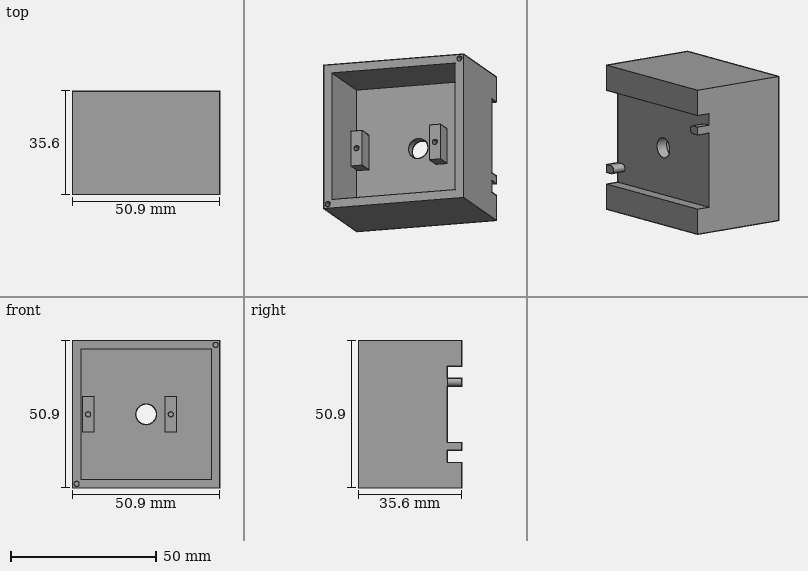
import cadquery as cq

width = 50.9
depth = 35.65
height = 50.9
wall = 3.0

cavity_depth = 26.45
channel_height = 33.1
channel_depth = 5.0

cable_hole_diameter = 7.0
screw_hole_diameter = 1.8
corner_hole_depth = 10.05

post_width = 4.0
post_height = 12.3
post_length = 7.25
post_spacing = 28.5
first_post_x = -20.0
post_centers = [(first_post_x, 0), (first_post_x + post_spacing, 0)]

lug_thickness = 2.8
lug_length = 4.0
lug_offset_z = 11.05

front_y = -depth / 2
back_y = depth / 2
cavity_floor_y = front_y + cavity_depth
post_face_y = cavity_floor_y - post_length
channel_floor_y = back_y - channel_depth


def plane_at(y):
    """Sketch plane facing -Y; positive extrusions run towards -Y."""
    return cq.Workplane("XZ", origin=(0, y, 0))


def make_box():
    shell = plane_at(front_y).rect(width, height).extrude(-depth)
    cavity = plane_at(front_y).rect(width - 2 * wall, height - 2 * wall).extrude(-cavity_depth)
    channel = plane_at(back_y).rect(width, channel_height).extrude(channel_depth)
    return shell.cut(cavity).cut(channel)


def make_posts():
    return plane_at(cavity_floor_y).pushPoints(post_centers).rect(post_width, post_height).extrude(post_length)


def make_lug(side, z):
    """Lug on the -X (side = -1) or +X (side = 1) edge, with its round end inwards."""
    radius = lug_thickness / 2
    bar_length = lug_length - radius
    edge_x = side * width / 2
    bar_center_x = edge_x - side * bar_length / 2
    end_center_x = edge_x - side * bar_length
    floor = plane_at(channel_floor_y)
    bar = floor.moveTo(bar_center_x, z).rect(bar_length, lug_thickness).extrude(-channel_depth)
    end = floor.moveTo(end_center_x, z).circle(radius).extrude(-channel_depth)
    return bar.union(end)


def make_holes():
    corner_x = (width - wall) / 2
    corner_z = (height - wall) / 2
    corners = [(-corner_x, -corner_z), (corner_x, corner_z)]
    cable_hole = plane_at(front_y).circle(cable_hole_diameter / 2).extrude(-depth)
    corner_holes = (
        plane_at(front_y).pushPoints(corners).circle(screw_hole_diameter / 2).extrude(-corner_hole_depth)
    )
    post_holes = (
        plane_at(post_face_y).pushPoints(post_centers).circle(screw_hole_diameter / 2).extrude(-post_length)
    )
    return cable_hole.union(corner_holes).union(post_holes)


result = make_box().union(make_posts())
for side in (-1, 1):
    result = result.union(make_lug(side, -side * lug_offset_z))
result = result.cut(make_holes())